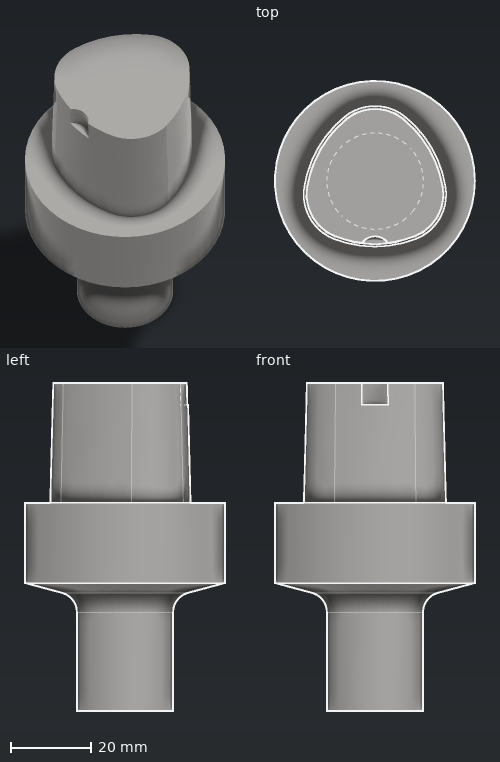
import cadquery as cq
import math

total_height = 82.0
shank_height = 30.0
flange_height = 20.0
flange_top = total_height - shank_height
flange_bottom = flange_top - flange_height

flange_radius = 50.0 / 2
stem_radius = 24.1 / 2
underside_angle = math.radians(15)
neck_fillet = 5.0

side_distance = 15.7
lobe_distance = 17.95
side_radius = 27.5
shank_taper = 0.025

notch_radius = 4.0
notch_reach = 13.85
notch_depth = 5.5


def polar(radius, degrees):
    angle = math.radians(degrees)
    return (radius * math.cos(angle), radius * math.sin(angle))


def lobed_wire(z, offset):
    """Closed outline of six tangent arcs, offset outward from the shank's top section."""
    side_center = side_radius - side_distance
    rise = lobe_distance - side_distance
    lobe_center = rise * (2 * side_center - rise) / (side_center - 2 * rise)

    along_centers = side_center + lobe_center * math.cos(math.radians(60))
    across_centers = lobe_center * math.sin(math.radians(60))
    half_angle = math.atan2(across_centers, along_centers)
    arc_radius = side_radius + offset
    along = arc_radius * math.cos(half_angle) - side_center
    across = arc_radius * math.sin(half_angle)
    joint_radius = math.hypot(along, across)
    joint_angle = math.degrees(math.atan2(across, along))

    outline = cq.Workplane("XY", origin=(0, 0, z)).moveTo(*polar(joint_radius, -90 - joint_angle))
    for side_angle in (-90, 30, 150):
        outline = outline.threePointArc(
            polar(side_distance + offset, side_angle),
            polar(joint_radius, side_angle + joint_angle),
        )
        outline = outline.threePointArc(
            polar(lobe_distance + offset, side_angle + 60),
            polar(joint_radius, side_angle + 120 - joint_angle),
        )
    return outline.close().val()


def make_body():
    """Stem, filleted neck and flange as one revolved profile."""
    cone_drop = (flange_radius - stem_radius) * math.tan(underside_angle)
    turn_angle = math.pi / 2 - underside_angle
    tangent_length = neck_fillet * math.tan(turn_angle / 2)
    corner_z = flange_bottom - cone_drop
    center_x = stem_radius + neck_fillet
    center_z = corner_z - tangent_length
    middle_angle = math.pi - turn_angle / 2
    fillet_middle = (
        center_x + neck_fillet * math.cos(middle_angle),
        center_z + neck_fillet * math.sin(middle_angle),
    )
    fillet_end = (
        stem_radius + tangent_length * math.cos(underside_angle),
        corner_z + tangent_length * math.sin(underside_angle),
    )
    return (
        cq.Workplane("XZ")
        .lineTo(stem_radius, 0)
        .lineTo(stem_radius, center_z)
        .threePointArc(fillet_middle, fillet_end)
        .lineTo(flange_radius, flange_bottom)
        .lineTo(flange_radius, flange_top)
        .lineTo(0, flange_top)
        .close()
        .revolve(360, (0, 0, 0), (0, 1, 0))
    )


def make_shank():
    base_wire = lobed_wire(flange_top, shank_height * shank_taper)
    top_wire = lobed_wire(total_height, 0)
    return cq.Workplane(cq.Solid.makeLoft([base_wire, top_wire], True))


def make_notch():
    return (
        cq.Workplane("XY", origin=(0, 0, total_height - notch_depth))
        .center(0, -(notch_reach + notch_radius))
        .circle(notch_radius)
        .extrude(notch_depth)
    )


result = make_body().union(make_shank()).cut(make_notch())